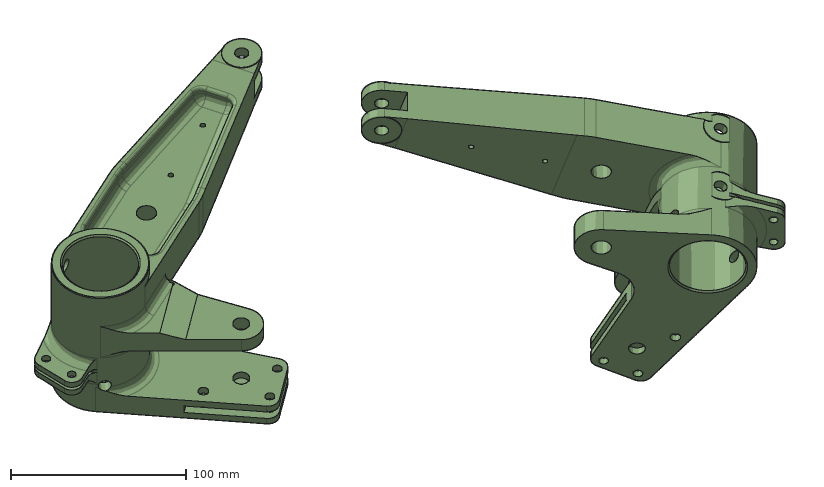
import cadquery as cq
import math

TUBE_R = 28.0
TUBE_HEIGHT = 92.9
BORE_R = 21.8
BORE_CHAMFER = 1.0
RIM_CHAMFER = 0.5
ROOT_FILLET = 5.5

ARM_MID_Z = 71.3
ARM_HALF_HEIGHT = 14.3
TIP_HALF_HEIGHT = 13.0
ARM_BEND_Y = 77.3
ARM_BEND_R = 47.5
SLOPE_START_Y = 85.0
TIP_Y = 193.2
TIP_R = 11.5
TIP_HOLE_R = 4.0
BOSS_RAISE = 0.5
FORK_GAP = 13.8

RIB_WIDTH = 5.0
POCKET_START_Y = 24.8
POCKET_END_Y = 158.7
POCKET_FLOOR_Z = 75.0
POCKET_RIM_FILLET = 2.3
DRAIN_R = 1.5
DRAIN_YS = (96.4, 140.2)

LUG_Y = 63.0
LUG_R = 15.5
LUG_HOLE_R = 5.8

LIMB_ANGLE = 13.9
FOOT_HEIGHT = 14.5
FOOT_END = 106.5
FOOT_END_HALF_WIDTH = 18.8
FOOT_CORNER_R = 6.8
FOOT_LUG_FILLET = 17.5
FOOT_SLOT_START = 53.0
FOOT_SLOT_Z = 4.5
FOOT_SLOT_HEIGHT = 5.3
END_HOLE_DISTANCE = 100.5
END_HOLE_OFFSET = 11.3
END_HOLE_R = 2.8
SIDE_HOLE_DISTANCE = 62.5
SIDE_HOLE_OFFSET = -14.3
SIDE_HOLE_R = 3.0

PIVOT_DISTANCE = 81.9
PIVOT_HOLE_R = 4.8
LEVER_END_R = 12.8
LEVER_BOTTOM_Z = 49.5
LEVER_ROOT_TOP_Z = 64.0
LEVER_END_TOP_Z = 58.8
RAMP_START = 38.5
RAMP_END = 53.0

BRACKET_MID_Z = 33.0
BRACKET_HEIGHT = 10.3
BRACKET_GAP = 2.3
BRACKET_HOLES = ((-18.5, -33.8), (0, -39.0))
BRACKET_HOLE_R = 2.5
BRACKET_CORNER_R = 6.5

PORT_R = 3.8
PORT_ZS = (38.0, 81.4)
PORT_FACE_R = 10.3
PORT_FACE_DEPTH = 0.5
CROSS_PORT_Z = 21.3
CROSS_PORT_ANGLE = -60

CLEAR_WIDTH = 500.5


def polar(radius, degrees):
    return (radius * math.cos(math.radians(degrees)), radius * math.sin(math.radians(degrees)))


def prism(outline, z_low, z_high):
    """Extrude a closed XY outline between two heights."""
    return outline.extrude(z_high - z_low).translate((0, 0, z_low))


def rod(x, y, radius, z_low, z_high):
    return prism(cq.Workplane("XY").center(x, y).circle(radius), z_low, z_high)


def layer(z_low, z_high):
    """Slab wider than the part, between two heights."""
    return prism(cq.Workplane("XY").rect(CLEAR_WIDTH, CLEAR_WIDTH), z_low, z_high)


def tapered_limb(distance, end_radius):
    """Outline along +X with sides tangent to the tube and to a round end."""
    tilt = math.degrees(math.asin((TUBE_R - end_radius) / distance))
    root_x, root_y = polar(TUBE_R, 90 - tilt)
    end_x, end_y = polar(end_radius, 90 - tilt)
    return (
        cq.Workplane("XY")
        .moveTo(root_x, root_y)
        .lineTo(distance + end_x, end_y)
        .threePointArc((distance + end_radius, 0), (distance + end_x, -end_y))
        .lineTo(root_x, -root_y)
        .close()
    )


def fillet_profile(z_face, side):
    """Concave fillet section at the tube wall, above (side 1) or below (side -1) a face."""
    reach = ROOT_FILLET * (1 - math.sqrt(0.5))
    return (
        cq.Workplane("XZ")
        .moveTo(BORE_R, z_face)
        .lineTo(TUBE_R + ROOT_FILLET, z_face)
        .threePointArc(
            (TUBE_R + reach, z_face + side * reach),
            (TUBE_R, z_face + side * ROOT_FILLET),
        )
        .lineTo(BORE_R, z_face + side * ROOT_FILLET)
        .close()
    )


def root_ring(z_face, side):
    """Concave fillet running all the way round the tube."""
    return fillet_profile(z_face, side).revolve(360, (0, 0, 0), (0, 1, 0))


def limb_frame(body):
    """Turn a body built along +X into the shared direction of the lever and foot plate."""
    return body.rotate((0, 0, 0), (0, 0, 1), LIMB_ANGLE)


def make_arm():
    """Return the finished arm and the full-height prism of its outline."""
    top = ARM_MID_Z + ARM_HALF_HEIGHT
    bottom = ARM_MID_Z - ARM_HALF_HEIGHT
    tip_top = ARM_MID_Z + TIP_HALF_HEIGHT
    tip_bottom = ARM_MID_Z - TIP_HALF_HEIGHT
    fork_y = TIP_Y - TIP_R
    tip_end = TIP_Y + TIP_R

    run = TIP_Y - ARM_BEND_Y
    taper = math.atan2(TUBE_R, run) - math.asin(TIP_R / math.hypot(TUBE_R, run))
    tangent_x = TIP_R * math.cos(taper)
    tangent_y = TIP_Y + TIP_R * math.sin(taper)
    outline = (
        cq.Workplane("XY")
        .moveTo(-TUBE_R, 0)
        .lineTo(-TUBE_R, ARM_BEND_Y)
        .lineTo(-tangent_x, tangent_y)
        .threePointArc((0, tip_end), (tangent_x, tangent_y))
        .lineTo(TUBE_R, ARM_BEND_Y)
        .lineTo(TUBE_R, 0)
        .close()
    )
    bend_edges = cq.selectors.BoxSelector(
        (-2 * TUBE_R, ARM_BEND_Y - 2.5, 0), (2 * TUBE_R, ARM_BEND_Y + 2.5, TUBE_HEIGHT)
    )
    blank = prism(outline, 0, TUBE_HEIGHT).edges(bend_edges).edges("|Z").fillet(ARM_BEND_R)

    side_profile = (
        cq.Workplane("YZ")
        .polyline([
            (0, bottom), (SLOPE_START_Y, bottom), (fork_y, tip_bottom), (tip_end, tip_bottom),
            (tip_end, tip_top), (fork_y, tip_top), (SLOPE_START_Y, top), (0, top),
        ])
        .close()
        .extrude(TUBE_R, both=True)
    )
    arm = blank.intersect(side_profile).cut(make_pocket(taper, top))
    rim_edges = cq.selectors.BoxSelector(
        (0.8 * RIB_WIDTH - TUBE_R, POCKET_START_Y - 2.5, tip_top - 0.8),
        (TUBE_R - 0.8 * RIB_WIDTH, POCKET_END_Y + 2.5, top + 0.8),
        boundingbox=True,
    )
    arm = arm.edges(rim_edges).fillet(POCKET_RIM_FILLET)

    arm = arm.union(rod(0, TIP_Y, TIP_R, tip_bottom - BOSS_RAISE, tip_top + BOSS_RAISE))
    gap = cq.Workplane("XY").box(2 * TUBE_R, 4 * TIP_R, FORK_GAP)
    arm = arm.cut(gap.translate((0, fork_y + 2 * TIP_R, ARM_MID_Z)))
    return arm, blank


def make_pocket(taper, top):
    """Pocket volume with walls parallel to the arm sides and a rounded floor edge."""
    half = TUBE_R - RIB_WIDTH
    bend_y = ARM_BEND_Y - RIB_WIDTH * math.tan(taper / 2)
    end_half = half - (POCKET_END_Y - bend_y) * math.tan(taper)
    outline = (
        cq.Workplane("XY")
        .polyline([
            (-half, POCKET_START_Y), (-half, bend_y), (-end_half, POCKET_END_Y),
            (end_half, POCKET_END_Y), (half, bend_y), (half, POCKET_START_Y),
        ])
        .close()
    )
    pocket = prism(outline, POCKET_FLOOR_Z, top + 2.5)
    bends = cq.selectors.BoxSelector((-TUBE_R, bend_y - 2.5, 0), (TUBE_R, bend_y + 2.5, TUBE_HEIGHT))
    pocket = pocket.edges("|Z").edges(bends).fillet(ARM_BEND_R - RIB_WIDTH)
    pocket = pocket.edges("|Z and (<Y or >Y)").fillet(ROOT_FILLET + 0.13)
    return pocket.faces("<Z").edges().fillet(ROOT_FILLET)


def make_lever():
    """Upper lever with a ramp down to its thinner end."""
    lever = prism(tapered_limb(PIVOT_DISTANCE, LEVER_END_R), LEVER_BOTTOM_Z, LEVER_ROOT_TOP_Z)
    end = PIVOT_DISTANCE + LEVER_END_R + 2.5
    step = (
        cq.Workplane("XZ")
        .polyline([
            (RAMP_START, LEVER_ROOT_TOP_Z), (RAMP_END, LEVER_END_TOP_Z),
            (end, LEVER_END_TOP_Z), (end, LEVER_ROOT_TOP_Z),
        ])
        .close()
        .extrude(2 * TUBE_R, both=True)
    )
    lever = limb_frame(lever.cut(step))

    tall = limb_frame(prism(tapered_limb(PIVOT_DISTANCE, LEVER_END_R), 0, TUBE_HEIGHT))
    straight = fillet_profile(LEVER_ROOT_TOP_Z, 1).extrude(-TUBE_R)
    flare = root_ring(LEVER_ROOT_TOP_Z, 1).union(straight).union(root_ring(LEVER_BOTTOM_Z, -1))
    return lever.union(flare.intersect(tall))


def make_foot():
    """Foot plate and rear lug in one slab, blended where their sides meet."""
    corner = math.hypot(FOOT_END, FOOT_END_HALF_WIDTH)
    corner_angle = math.atan2(FOOT_END_HALF_WIDTH, FOOT_END)
    root_x, root_y = polar(TUBE_R, math.degrees(corner_angle + math.acos(TUBE_R / corner)))
    height = FOOT_HEIGHT + ROOT_FILLET
    plate = (
        cq.Workplane("XY")
        .polyline([
            (root_x, root_y), (FOOT_END, FOOT_END_HALF_WIDTH),
            (FOOT_END, -FOOT_END_HALF_WIDTH), (root_x, -root_y),
        ])
        .close()
        .extrude(height)
        .edges("|Z and >X")
        .fillet(FOOT_CORNER_R)
    )
    lug = tapered_limb(LUG_Y, LUG_R).extrude(height).rotate((0, 0, 0), (0, 0, 1), 90)
    tall = limb_frame(plate).union(lug).union(rod(0, 0, TUBE_R, 0, height))
    junction = cq.selectors.BoxSelector((TUBE_R / 2, TUBE_R, -2.5), (TUBE_R, 2 * TUBE_R, height + 2.5))
    tall = tall.edges(junction).edges("|Z").fillet(FOOT_LUG_FILLET)

    foot = tall.intersect(layer(0, FOOT_HEIGHT)).union(root_ring(FOOT_HEIGHT, 1).intersect(tall))
    slot = cq.Workplane("XY").box(FOOT_END, 4 * TUBE_R, FOOT_SLOT_HEIGHT, centered=(False, True, False))
    return foot.cut(limb_frame(slot.translate((FOOT_SLOT_START, 0, FOOT_SLOT_Z))))


def make_bracket():
    """Two parallel leaves whose outline wraps the two bolt holes."""
    left, right = BRACKET_HOLES
    r = BRACKET_CORNER_R
    low = BRACKET_MID_Z - BRACKET_HEIGHT / 2
    high = BRACKET_MID_Z + BRACKET_HEIGHT / 2
    right_side = right[0] + r

    heading = math.degrees(math.atan2(left[1], left[0]))
    spread = math.degrees(math.acos((TUBE_R - r) / math.hypot(*left)))
    side = (heading - spread) % 360
    front = (math.degrees(math.atan2(right[1] - left[1], right[0] - left[0])) - 90) % 360

    def corner(center, angle):
        dx, dy = polar(r, angle)
        return (center[0] + dx, center[1] + dy)

    outline = (
        cq.Workplane("XY")
        .moveTo(0, 0)
        .lineTo(*polar(TUBE_R, side))
        .lineTo(*corner(left, side))
        .threePointArc(corner(left, (side + front) / 2), corner(left, front))
        .lineTo(*corner(right, front))
        .threePointArc(corner(right, (front + 360) / 2), corner(right, 0))
        .lineTo(right_side, 0)
        .close()
    )
    tall = prism(outline, low - ROOT_FILLET, high + ROOT_FILLET)
    tall = tall.union(rod(0, 0, TUBE_R, low - ROOT_FILLET, high + ROOT_FILLET))
    junction = cq.selectors.BoxSelector(
        (right_side - 2.5, -TUBE_R - 2.5, 0), (right_side + 2.5, -TUBE_R / 2, TUBE_HEIGHT)
    )
    tall = tall.edges(junction).edges("|Z").fillet(ROOT_FILLET)

    leaves = tall.intersect(layer(low, high))
    gap = layer(BRACKET_MID_Z - BRACKET_GAP / 2, BRACKET_MID_Z + BRACKET_GAP / 2)
    flare = root_ring(low, -1).union(root_ring(high, 1)).intersect(tall)
    return leaves.cut(gap).union(flare)


def cut_bore(body):
    """Through bore with a lead-in chamfer at each end."""
    body = body.cut(rod(0, 0, BORE_R, 0, TUBE_HEIGHT))
    reach = BORE_R + 0.3
    bore_edges = cq.selectors.BoxSelector(
        (-reach, -reach, -2.5), (reach, reach, TUBE_HEIGHT + 2.5), boundingbox=True
    )
    return body.edges(bore_edges).edges("%CIRCLE").chamfer(BORE_CHAMFER)


def cut_vertical_holes(body):
    body = body.cut(rod(0, LUG_Y, LUG_HOLE_R, 0, TUBE_HEIGHT))
    for y in DRAIN_YS:
        body = body.cut(rod(0, y, DRAIN_R, 0, TUBE_HEIGHT))
    body = body.cut(rod(0, TIP_Y, TIP_HOLE_R, 0, TUBE_HEIGHT))

    holes = rod(PIVOT_DISTANCE, 0, PIVOT_HOLE_R, 0, LEVER_ROOT_TOP_Z)
    for offset in (-END_HOLE_OFFSET, END_HOLE_OFFSET):
        holes = holes.union(rod(END_HOLE_DISTANCE, offset, END_HOLE_R, 0, FOOT_HEIGHT))
    holes = holes.union(rod(SIDE_HOLE_DISTANCE, SIDE_HOLE_OFFSET, SIDE_HOLE_R, 0, FOOT_HEIGHT))
    body = body.cut(limb_frame(holes))

    for x, y in BRACKET_HOLES:
        body = body.cut(rod(x, y, BRACKET_HOLE_R, FOOT_HEIGHT, BRACKET_MID_Z + BRACKET_HEIGHT))
    return body


def cut_ports(body):
    for z in PORT_ZS:
        port = cq.Workplane("YZ").center(0, z).circle(PORT_R).extrude(-2 * TUBE_R)
        face = cq.Workplane("YZ").workplane(offset=PORT_FACE_DEPTH - TUBE_R)
        face = face.center(0, z).circle(PORT_FACE_R).extrude(-2.5)
        body = body.cut(port).cut(face)
    cross = cq.Workplane("YZ").center(0, CROSS_PORT_Z).circle(PORT_R).extrude(1.5 * TUBE_R, both=True)
    return body.cut(cross.rotate((0, 0, 0), (0, 0, 1), CROSS_PORT_ANGLE))


def make_housing():
    tube = rod(0, 0, TUBE_R, 0, TUBE_HEIGHT).faces(">Z or <Z").edges().chamfer(RIM_CHAMFER)
    arm, arm_tall = make_arm()
    arm_root = root_ring(ARM_MID_Z - ARM_HALF_HEIGHT, -1).union(root_ring(POCKET_FLOOR_Z, 1))
    body = tube.union(arm).union(arm_root.intersect(arm_tall))
    body = body.union(make_lever()).union(make_foot()).union(make_bracket())
    return cut_ports(cut_vertical_holes(cut_bore(body)))


housing = make_housing()
result = cq.Compound.makeCompound([*housing.vals()])